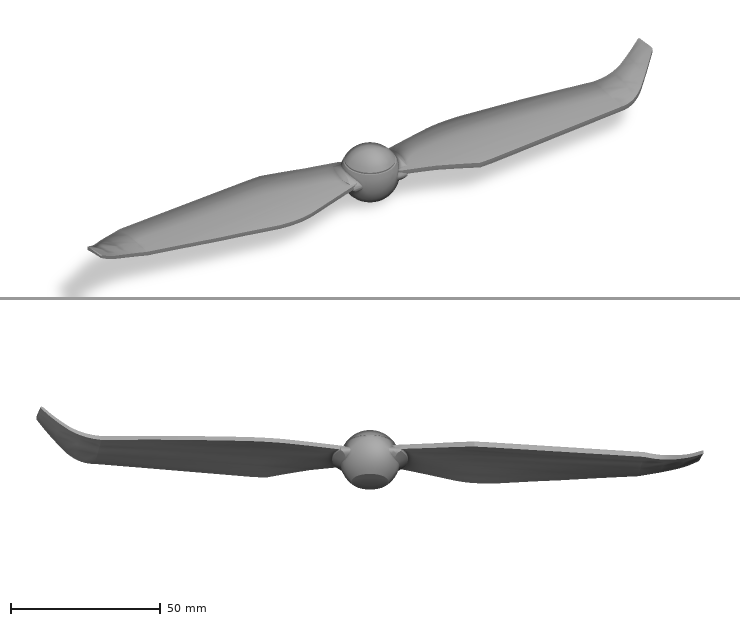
import cadquery as cq
import math

HALF_LENGTH = 107.5
HALF_WIDTH = 90.8 / 2

HUB_RADIUS = 10.1
HUB_HEIGHT = 18.0
HUB_BOTTOM = HUB_RADIUS - HUB_HEIGHT
GROOVE_BOTTOM = 4.7
GROOVE_HEIGHT = 0.6
GROOVE_RADIUS = 16.8 / 2

SWEEP_ANGLE = 20.4
FOLD_DISTANCE = 91.0
TIP_RISE_START = 82.5
TIP_RISE_RADIUS = 32.7
TIP_SECTIONS = [FOLD_DISTANCE, 97.9, 105.4, 115.0]
TIP_FLATTENING = 0.8

TRAILING_EDGE = -13.0
LEADING_EDGE = 17.9
CREST = 3.2
EDGE_BOTTOM = -1.0
TRAILING_TOP = 0.5
LEADING_TOP = 0.9
CREST_BOTTOM = 1.0
CREST_TOP = 2.5

COLLAR_RADIUS = 12.7
COLLAR_HUB_TOP = 3.9
COLLAR_HUB_BOTTOM = -2.5
COLLAR_RIM_TOP = 2.4
COLLAR_RIM_BOTTOM = 0.0

COLLAR_CENTER = 0.9
COLLAR_LEVEL = 0.2
COLLAR_HALF_WIDTH = 7.7
COLLAR_HALF_HEIGHT = 3.2

TRIM_HEIGHT = 2 * HUB_HEIGHT


def make_hub():
    hub = cq.Workplane("XY").sphere(HUB_RADIUS)
    flat_cut = cq.Workplane("XY").workplane(offset=HUB_BOTTOM - HUB_RADIUS)
    flat_cut = flat_cut.rect(3 * HUB_RADIUS, 3 * HUB_RADIUS).extrude(HUB_RADIUS)
    groove = (
        cq.Workplane("XY").workplane(offset=GROOVE_BOTTOM)
        .circle(HUB_RADIUS).circle(GROOVE_RADIUS).extrude(GROOVE_HEIGHT)
    )
    return hub.cut(flat_cut).cut(groove)


def make_outline():
    """Prism of the blade outline, trailing edge first, closed inside the hub."""
    return (
        cq.Workplane("XY").workplane(offset=-TRIM_HEIGHT / 2)
        .moveTo(-2.4, 8.5)
        .lineTo(-2.4, 12.0)
        .lineTo(-0.2, 31.8)
        .spline([(2.8, 42.2), (8.5, 53.0), (15.3, 64.5)], includeCurrent=True)
        .lineTo(28.5, 86.7)
        .threePointArc((31.0, 91.6), (32.0, 96.8))
        .lineTo(32.0, HALF_LENGTH)
        .lineTo(39.4, 105.4)
        .lineTo(43.9, 93.3)
        .threePointArc((HALF_WIDTH, 85.5), (44.5, 79.5))
        .lineTo(28.8, 30.1)
        .lineTo(27.0, 25.4)
        .lineTo(17.2, 14.0)
        .lineTo(10.0, 4.0)
        .lineTo(7.5, 2.2)
        .close().extrude(TRIM_HEIGHT)
    )


def make_section(distance, rise=0.0, roll=0.0, height=1.0):
    """Blade section on the unswept axis +Y; a positive roll lowers the leading edge."""
    plane = cq.Plane(
        origin=(0, distance, rise),
        xDir=(math.cos(roll), 0, -math.sin(roll)),
        normal=(0, -1, 0),
    )
    return (
        cq.Workplane(plane)
        .moveTo(TRAILING_EDGE, EDGE_BOTTOM * height)
        .threePointArc((CREST, CREST_BOTTOM * height), (LEADING_EDGE, EDGE_BOTTOM * height))
        .lineTo(LEADING_EDGE, LEADING_TOP * height)
        .threePointArc((CREST, CREST_TOP * height), (TRAILING_EDGE, TRAILING_TOP * height))
        .close()
    )


def make_tip():
    """Upturned tip whose rise follows Y, so the swept sections roll as they climb."""
    sweep = math.radians(SWEEP_ANGLE)
    rise_at_fold = (FOLD_DISTANCE * math.cos(sweep) - TIP_RISE_START) ** 2 / (2 * TIP_RISE_RADIUS)
    wires = []
    for distance in TIP_SECTIONS:
        past_start = distance * math.cos(sweep) - TIP_RISE_START
        progress = (distance - FOLD_DISTANCE) / (TIP_SECTIONS[-1] - FOLD_DISTANCE)
        rise = past_start**2 / (2 * TIP_RISE_RADIUS) - rise_at_fold
        slope = past_start / TIP_RISE_RADIUS
        roll = math.atan(slope * math.sin(sweep)) if progress > 0 else 0.0
        height = 1 - progress * (1 - TIP_FLATTENING)
        wires.append(make_section(distance, rise, roll, height).val())
    return cq.Workplane(cq.Solid.makeLoft(wires))


def make_collar():
    inner_radius = math.sqrt(HUB_RADIUS**2 - COLLAR_HUB_TOP**2)
    flare = (
        cq.Workplane("XZ")
        .moveTo(0, COLLAR_HUB_BOTTOM)
        .lineTo(inner_radius, COLLAR_HUB_BOTTOM)
        .lineTo(COLLAR_RADIUS, COLLAR_RIM_BOTTOM)
        .lineTo(COLLAR_RADIUS, COLLAR_RIM_TOP)
        .lineTo(inner_radius, COLLAR_HUB_TOP)
        .lineTo(0, COLLAR_HUB_TOP)
        .close().revolve(360, (0, 0), (0, 1))
    )
    root = (
        cq.Workplane("XZ").center(COLLAR_CENTER, COLLAR_LEVEL)
        .ellipse(COLLAR_HALF_WIDTH, COLLAR_HALF_HEIGHT).extrude(-COLLAR_RADIUS)
    )
    return flare.intersect(root.rotate((0, 0, 0), (0, 0, 1), -SWEEP_ANGLE))


def make_blade():
    straight = make_section(0).extrude(-FOLD_DISTANCE)
    swept = straight.union(make_tip()).rotate((0, 0, 0), (0, 0, 1), -SWEEP_ANGLE)
    return swept.intersect(make_outline()).union(make_collar())


blade = make_blade()
opposite_blade = blade.rotate((0, 0, 0), (0, 0, 1), 180)
hub_height_limit = (
    cq.Workplane("XY").workplane(offset=HUB_BOTTOM)
    .rect(3 * HALF_WIDTH, 3 * HALF_LENGTH).extrude(HUB_HEIGHT)
)
result = make_hub().union(blade).union(opposite_blade).intersect(hub_height_limit)